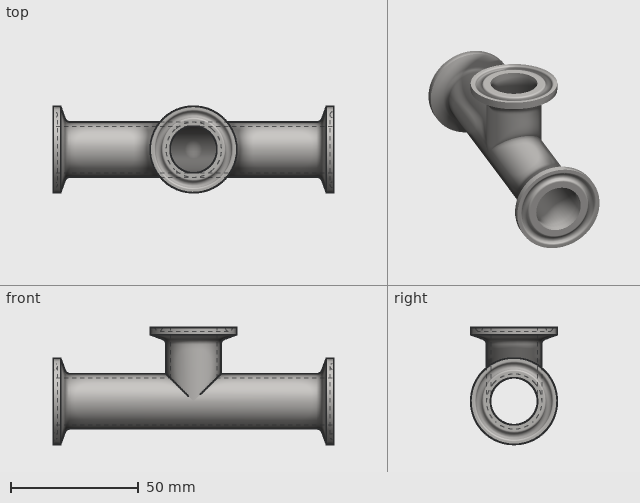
import cadquery as cq
import math

run_length = 110.0
overall_height = 46.0
tube_radius = 21.7 / 2
bore_radius = 18.4 / 2

flange_radius = 34.0 / 2
branch_height = overall_height - flange_radius
rim_thickness = 2.9
back_angle = math.radians(20)
neck_fillet = 2.0

groove_center_radius = 13.8
groove_half_width = 1.2
lip_width = 0.8
groove_depth = 1.5


def ferrule_tube(length):
    """Solid tube on the Z axis from z = 0, with its ferrule face at z = length."""
    fillet_center_radius = tube_radius + neck_fillet
    cone_tangent_radius = fillet_center_radius - neck_fillet * math.sin(back_angle)
    cone_drop = (flange_radius - cone_tangent_radius) * math.tan(back_angle)
    cone_tangent_z = length - rim_thickness - cone_drop
    fillet_center_z = cone_tangent_z - neck_fillet * math.cos(back_angle)
    middle_angle = (math.pi / 2 + back_angle + math.pi) / 2
    fillet_middle = (
        fillet_center_radius + neck_fillet * math.cos(middle_angle),
        fillet_center_z + neck_fillet * math.sin(middle_angle),
    )
    return (
        cq.Workplane("XZ")
        .lineTo(tube_radius, 0)
        .lineTo(tube_radius, fillet_center_z)
        .threePointArc(fillet_middle, (cone_tangent_radius, cone_tangent_z))
        .lineTo(flange_radius, length - rim_thickness)
        .lineTo(flange_radius, length)
        .lineTo(0, length)
        .close()
        .revolve(360, (0, 0, 0), (0, 1, 0))
        .cut(gasket_groove(length))
    )


def gasket_groove(face_z):
    """Ring removed from the ferrule face to form the gasket groove."""
    half_opening = groove_half_width + lip_width
    wall_angle = 2 * math.atan(groove_depth / half_opening)
    lip_radius = lip_width / math.sin(wall_angle)
    wall_z = face_z - lip_radius * (1 - math.cos(wall_angle))
    lip_middle_offset = half_opening - lip_radius * math.sin(wall_angle / 2)
    lip_middle_z = face_z - lip_radius * (1 - math.cos(wall_angle / 2))
    inner = groove_center_radius - half_opening
    outer = groove_center_radius + half_opening
    return (
        cq.Workplane("XZ")
        .moveTo(inner, face_z)
        .threePointArc(
            (groove_center_radius - lip_middle_offset, lip_middle_z),
            (groove_center_radius - groove_half_width, wall_z),
        )
        .threePointArc(
            (groove_center_radius, face_z - groove_depth),
            (groove_center_radius + groove_half_width, wall_z),
        )
        .threePointArc(
            (groove_center_radius + lip_middle_offset, lip_middle_z),
            (outer, face_z),
        )
        .close()
        .revolve(360, (0, 0, 0), (0, 1, 0))
    )


half_run = ferrule_tube(run_length / 2).rotate((0, 0, 0), (0, 1, 0), 90)
run = half_run.union(half_run.rotate((0, 0, 0), (0, 0, 1), 180), clean=True)
run_bore = cq.Workplane("YZ").circle(bore_radius).extrude(run_length / 2, both=True)
branch_bore = cq.Workplane("XY").circle(bore_radius).extrude(branch_height)

result = run.union(ferrule_tube(branch_height)).cut(run_bore).cut(branch_bore).clean()